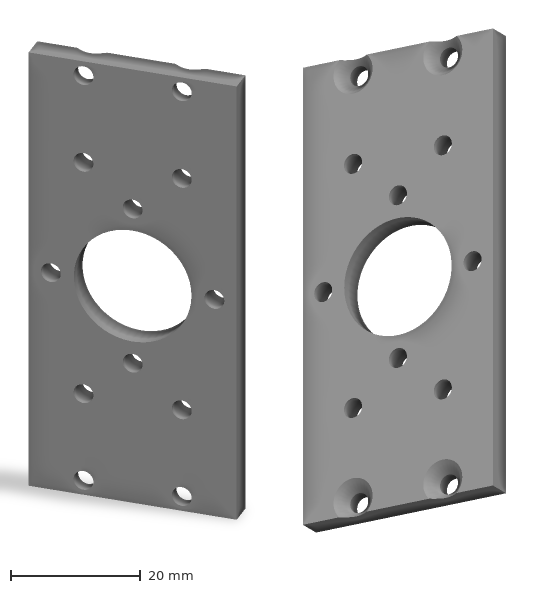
import cadquery as cq

width = 34.0
thickness = 4.0
height = 75.05
back_y = thickness / 2

bore_diameter = 19.2
hole_diameter = 3.2
bolt_circle_radius = 13.35
bolt_hole_count = 4

column_x = 8.0
inner_row_z = 20.0
outer_row_z = 35.05

seat_diameter = 7.0
seat_taper = 45


def through_cut_plane():
    """Sketch plane on the back face, facing -Y; local axes are +X and +Z."""
    return cq.Workplane("XZ", origin=(0, back_y, 0))


def mirrored_points(x, z):
    """Four points mirrored about both axes of the plate face."""
    return [(sx * x, sz * z) for sx in (-1, 1) for sz in (-1, 1)]


plate = cq.Workplane("XY").box(width, thickness, height)

bore = through_cut_plane().circle(bore_diameter / 2).extrude(thickness)

bolt_holes = (
    through_cut_plane()
    .polarArray(bolt_circle_radius, 0, 360, bolt_hole_count)
    .circle(hole_diameter / 2)
    .extrude(thickness)
)

outer_points = mirrored_points(column_x, outer_row_z)
screw_points = mirrored_points(column_x, inner_row_z) + outer_points
screw_holes = (
    through_cut_plane()
    .pushPoints(screw_points)
    .circle(hole_diameter / 2)
    .extrude(thickness)
)

seat_depth = (seat_diameter - hole_diameter) / 2
seats = (
    through_cut_plane()
    .pushPoints(outer_points)
    .circle(seat_diameter / 2)
    .extrude(seat_depth, taper=seat_taper)
)

result = plate.cut(bore).cut(bolt_holes).cut(screw_holes).cut(seats)